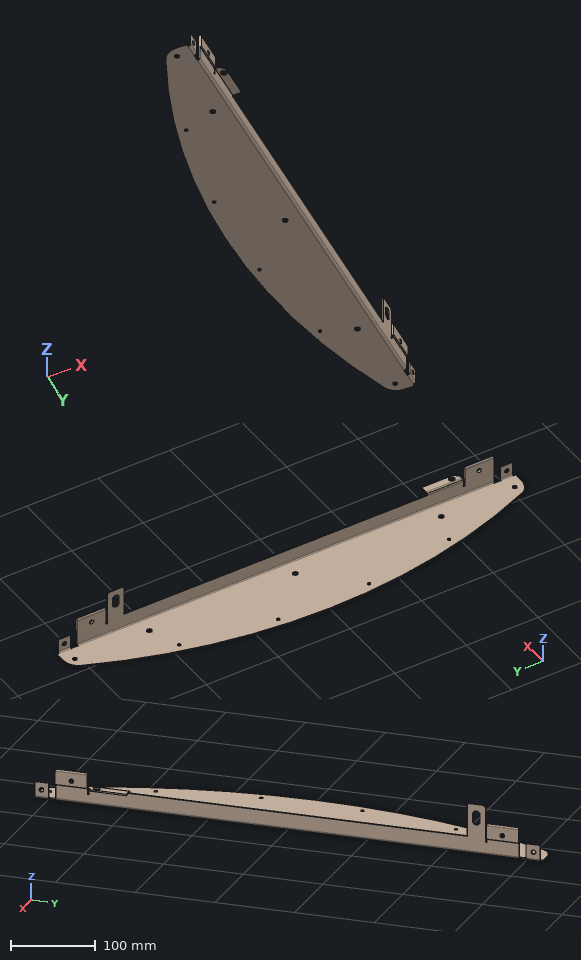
import cadquery as cq

length = 640.5
height = 63.0
depth = 113.0
sheet = 2.0

wall_outer_x = 101.0
wall_inner_x = wall_outer_x - sheet
bow_radius = 768.5
corner_radius = 22.0
bend_outer_radius = 3.0
bend_inner_radius = bend_outer_radius - sheet
bend_start_x = wall_outer_x - bend_outer_radius

wall_height = 21.0
block_height = 40.5
block_inner_y = 250.5
block_outer_y = 291.0
lug_inner_y = 300.0
lug_outer_y = 317.0
relief_width = 2.0
hook_relief_bottom = 16.5
flange_relief_bottom = 13.5
hook_inner_y = 225.5
hook_outer_y = block_inner_y - relief_width
hook_corner_radius = 3.0
hem_height = 19.0

flange_inner_y = 198.0
flange_outer_y = hook_outer_y
flange_top = 24.5
flange_corner = 6.5

small_hole = 4.0
wall_hole = 5.4
rear_hole = 6.5
end_hole = 5.4
end_hole_position = (79.0, 307.0)
rear_hole_x = 77.5
rear_hole_y = 203.5
front_holes = [(36.0, 188.0), (15.0, 63.5)]
block_hole = (270.0, 28.0)
lug_hole = (308.5, 11.5)
hook_slot_y = 237.0
hook_slot_z = 45.5
hook_slot_length = 17.0
hook_slot_width = 9.0
flange_hole = 8.0
flange_hole_position = (107.5, -237.0)


def box(x_range, y_range, z_range):
    """Box given by its low and high limits along each axis."""
    sizes = [high - low for low, high in (x_range, y_range, z_range)]
    corner = (x_range[0], y_range[0], z_range[0])
    return cq.Workplane("XY").box(*sizes, centered=False).translate(corner)


def drill_down(points, diameter):
    """Vertical cutters through the full height."""
    return cq.Workplane("XY").pushPoints(points).circle(diameter / 2).extrude(height)


def drill_across(points, diameter):
    """Cutters along X through the upright wall; points are (y, z)."""
    return cq.Workplane("YZ").pushPoints(points).circle(diameter / 2).extrude(depth)


def base_plate():
    """Sheet bounded by the bow arc and the straight line where the bend starts."""
    disc = cq.Workplane("XY").center(bow_radius, 0).circle(bow_radius).extrude(sheet)
    strip = box((0, bend_start_x), (-length / 2, length / 2), (0, sheet))
    plate = disc.intersect(strip)
    return plate.edges("|Z and (not >X)").fillet(corner_radius)


def upright(y_start, y_end, top):
    """Wall section standing on the plate through a rounded bend."""
    profile = (
        cq.Workplane("XZ", origin=(0, y_end, 0))
        .moveTo(bend_start_x, 0)
        .radiusArc((wall_outer_x, bend_outer_radius), -bend_outer_radius)
        .lineTo(wall_outer_x, top)
        .lineTo(wall_inner_x, top)
        .lineTo(wall_inner_x, bend_outer_radius)
        .radiusArc((bend_start_x, sheet), bend_inner_radius)
        .close()
    )
    return profile.extrude(y_end - y_start)


def hem(y_start, y_end):
    """Rounded fold and folded-back layer lying against the rear of a block."""
    fold_z = block_height - sheet
    profile = (
        cq.Workplane("XZ", origin=(0, y_end, 0))
        .moveTo(wall_inner_x, fold_z)
        .threePointArc((wall_outer_x, block_height), (wall_outer_x + sheet, fold_z))
        .lineTo(wall_outer_x + sheet, block_height - hem_height)
        .lineTo(wall_outer_x, block_height - hem_height)
        .lineTo(wall_outer_x, fold_z)
        .close()
    )
    return profile.extrude(y_end - y_start)


def hook():
    """Tall hanging tab with rounded top corners."""
    tab = upright(hook_inner_y, hook_outer_y, height)
    return tab.edges("|X and >Z").fillet(hook_corner_radius)


def flange():
    """Shelf folded outward from the top of the wall."""
    shelf = box(
        (wall_inner_x, depth),
        (-flange_outer_y, -flange_inner_y),
        (flange_top - sheet, flange_top),
    )
    shelf = shelf.edges("|Z and >X and <Y").chamfer(flange_corner)
    riser = upright(-flange_outer_y, -flange_inner_y, flange_top)
    return riser.union(shelf).edges("|Y").edges(">Z").edges("<X").fillet(bend_outer_radius)


result = base_plate().union(upright(-block_outer_y, block_outer_y, wall_height))
for low, high in ((block_inner_y, block_outer_y), (-block_outer_y, -block_inner_y)):
    result = result.union(upright(low, high, block_height - sheet)).union(hem(low, high))
for low, high in ((lug_inner_y, lug_outer_y), (-lug_outer_y, -lug_inner_y)):
    result = result.union(upright(low, high, wall_height))
result = result.union(hook()).union(flange())

wall_span = (bend_start_x, depth)
result = result.cut(box(wall_span, (hook_outer_y, block_inner_y), (hook_relief_bottom, height)))
result = result.cut(box(wall_span, (-block_inner_y, -flange_outer_y), (flange_relief_bottom, height)))

for side in (1, -1):
    result = result.cut(drill_down([(x, side * y) for x, y in front_holes], small_hole))
    result = result.cut(drill_down([(end_hole_position[0], side * end_hole_position[1])], end_hole))
    wall_holes = [(side * y, z) for y, z in (block_hole, lug_hole)]
    result = result.cut(drill_across(wall_holes, wall_hole))
rear_holes = [(rear_hole_x, y) for y in (-rear_hole_y, 0, rear_hole_y)]
result = result.cut(drill_down(rear_holes, rear_hole))

slot = cq.Workplane("YZ").center(hook_slot_y, hook_slot_z)
result = result.cut(slot.slot2D(hook_slot_length, hook_slot_width, 90).extrude(depth))
result = result.cut(drill_down([flange_hole_position], flange_hole))